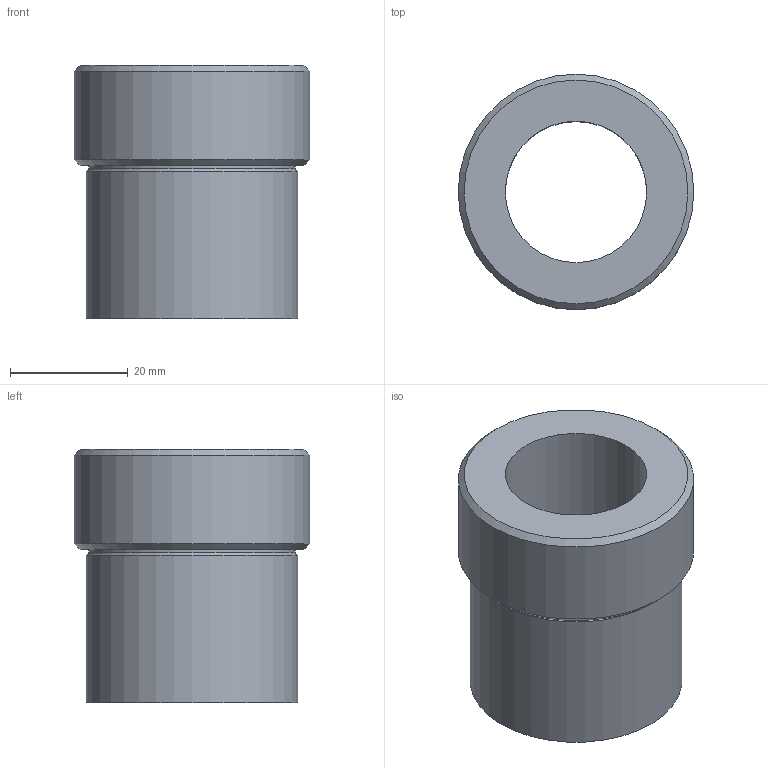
import cadquery as cq

head_radius = 20.0
shank_radius = 18.0
bore_radius = 12.0
shank_length = 26.0
head_height = 17.0
head_chamfer = 1.0

groove_depth = 0.5
neck_height = 0.5
runout_radius = groove_depth

total_height = shank_length + head_height
neck_radius = shank_radius - groove_depth
neck_bottom = shank_length - neck_height
groove_bottom = neck_bottom - runout_radius


def make_head():
    """Collar with both outer rims chamfered."""
    head = cq.Workplane("XY").workplane(offset=shank_length).circle(head_radius).extrude(head_height)
    return head.faces("<Z or >Z").edges().chamfer(head_chamfer)


def make_shank():
    """Cylinder with the relief groove at its upper end, revolved from a half section."""
    section = (
        cq.Workplane("XZ")
        .moveTo(0, 0)
        .lineTo(shank_radius, 0)
        .lineTo(shank_radius, groove_bottom)
        .radiusArc((neck_radius, neck_bottom), runout_radius)
        .lineTo(neck_radius, shank_length)
        .lineTo(0, shank_length)
        .close()
    )
    return section.revolve(360, (0, 0, 0), (0, 1, 0))


def make_bore():
    """Plain hole through the full height."""
    return cq.Workplane("XY").circle(bore_radius).extrude(total_height)


result = make_shank().union(make_head()).cut(make_bore())